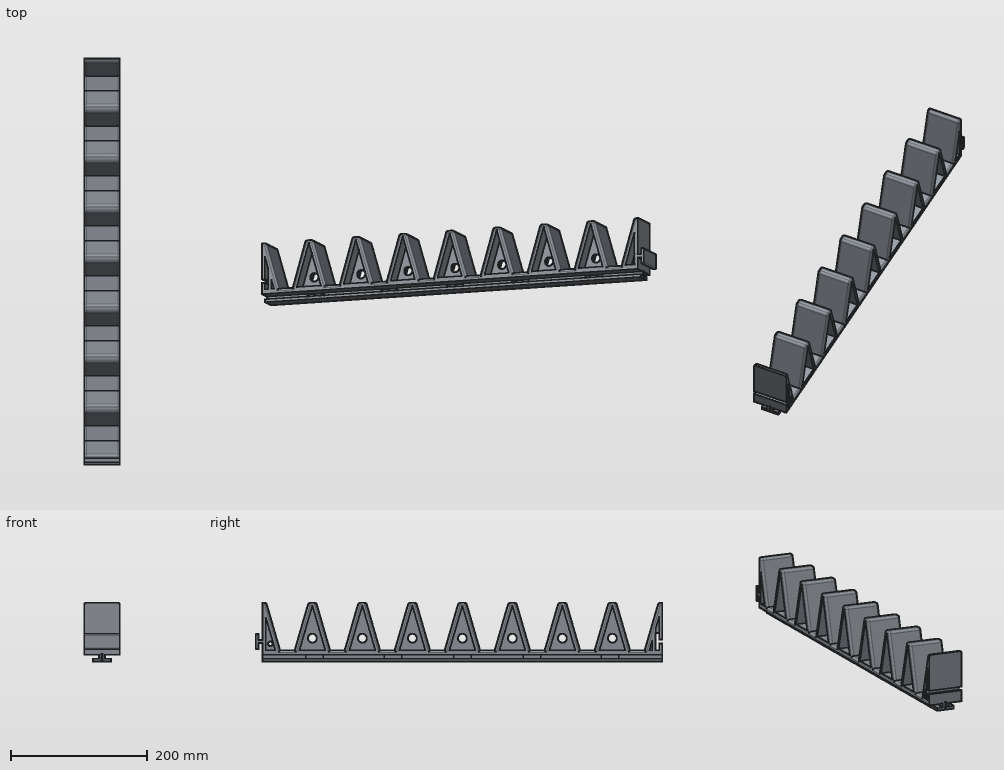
import cadquery as cq
import math


WIDTH = 52.39
PITCH = 73.025
PITCH_COUNT = 8
LENGTH = PITCH * PITCH_COUNT
BASE_THICKNESS = 6.9
BODY_HEIGHT = 76.2
SIDE_ROUND = 3.175
END_CLEARANCE = 0.5

TOOTH_FOOT_HALF = 25.9
TOOTH_TOP_HALF = 5.8
TIP_RADIUS = 4.4
FACE_THICKNESS = 6.8
WEB_THICKNESS = 6.35
WEB_HOLE_DIAMETER = 12.7
WEB_HOLE_HEIGHT = 24.3

FLANGE_THICKNESS = 4.32
T_PROJECTION = 9.84
KEY_FLANGE_WIDTH = 27.0
KEY_NECK_WIDTH = 9.0
HOOK_FLANGE_HEIGHT = 22.9
HOOK_NECK_HEIGHT = 4.76
HOOK_EDGE_ROUND = 2.2

WINDOW_LENGTH = 25.4
WINDOW_CENTRES = (-215.9, -101.6, 0, 101.6, 215.9)

STRIP_WIDTH = 1.6
STRIP_HEIGHT = 9.525
STRIP_BOTTOM = FLANGE_THICKNESS / 2

HOOK_WALL = 5.08
SMALL_HOLE_DIAMETER = 6.35
SMALL_HOLE_INSET = 11.6
SMALL_HOLE_HEIGHT = 16.2

SLOT_WALL = 4.75
SLOT_DEPTH = 5.08
SLOT_BACK_WALL = 5.08
SLOT_HEIGHT = 24.9
SLOT_MOUTH_HEIGHT = 5.5

BASE_BOTTOM = T_PROJECTION
FLOOR = BASE_BOTTOM + BASE_THICKNESS
TOP = BASE_BOTTOM + BODY_HEIGHT
HOOK_END = -(LENGTH + T_PROJECTION) / 2
HOOK_FACE = HOOK_END + T_PROJECTION
SLOT_FACE = HOOK_FACE + LENGTH
MIDDLE = (HOOK_FACE + SLOT_FACE) / 2
HOOK_LEVEL = FLOOR + SLOT_HEIGHT / 2
FULL_TEETH = [HOOK_FACE + PITCH * i for i in range(1, PITCH_COUNT)]

FACE_RUN = (TOOTH_FOOT_HALF - TOOTH_TOP_HALF) / (TOP - FLOOR)
FACE_ANGLE = math.atan(FACE_RUN)
INNER_FOOT_HALF = TOOTH_FOOT_HALF - FACE_THICKNESS / math.cos(FACE_ANGLE)

TIP_TANGENT = TIP_RADIUS * math.tan((math.pi / 2 - FACE_ANGLE) / 2)
TIP_FLAT_HALF = TOOTH_TOP_HALF - TIP_TANGENT
TIP_SIDE_HALF = TOOTH_TOP_HALF + TIP_TANGENT * math.sin(FACE_ANGLE)
TIP_SIDE_Z = TOP - TIP_TANGENT * math.cos(FACE_ANGLE)
TIP_MID_ANGLE = (math.pi / 2 + FACE_ANGLE) / 2
TIP_MID_HALF = TIP_FLAT_HALF + TIP_RADIUS * math.cos(TIP_MID_ANGLE)
TIP_MID_Z = TOP - TIP_RADIUS + TIP_RADIUS * math.sin(TIP_MID_ANGLE)


def block(width, y_start, y_stop, z_start, z_stop):
    """A box centred on X = 0 between the given Y and Z limits."""
    box = cq.Workplane("XY").box(width, y_stop - y_start, z_stop - z_start, centered=(True, False, False))
    return box.translate((0, y_start, z_start))


def cross_hole(diameter, y, z):
    """A round hole along X through the whole width."""
    return cq.Workplane("YZ").center(y, z).circle(diameter / 2).extrude(WIDTH / 2, both=True)


def rising_face(outline, centre):
    """The tooth face on the -Y side of a tooth, from its foot to the flat tip."""
    return (
        outline.lineTo(centre - TOOTH_FOOT_HALF, FLOOR)
        .lineTo(centre - TIP_SIDE_HALF, TIP_SIDE_Z)
        .threePointArc((centre - TIP_MID_HALF, TIP_MID_Z), (centre - TIP_FLAT_HALF, TOP))
    )


def falling_face(outline, centre):
    """The tooth face on the +Y side of a tooth, from the flat tip to its foot."""
    return (
        outline.lineTo(centre + TIP_FLAT_HALF, TOP)
        .threePointArc((centre + TIP_MID_HALF, TIP_MID_Z), (centre + TIP_SIDE_HALF, TIP_SIDE_Z))
        .lineTo(centre + TOOTH_FOOT_HALF, FLOOR)
    )


def toothed_body():
    """Base and solid teeth, a half tooth at each end, with the upper side edges rounded."""
    outline = cq.Workplane("YZ").moveTo(HOOK_FACE, BASE_BOTTOM).lineTo(HOOK_FACE, TOP)
    outline = falling_face(outline, HOOK_FACE)
    for centre in FULL_TEETH:
        outline = falling_face(rising_face(outline, centre), centre)
    outline = rising_face(outline, SLOT_FACE).lineTo(SLOT_FACE, TOP).lineTo(SLOT_FACE, BASE_BOTTOM).close()
    body = outline.extrude(WIDTH / 2, both=True)
    upper_zone = cq.selectors.BoxSelector(
        (-WIDTH, HOOK_FACE + END_CLEARANCE, BASE_BOTTOM + END_CLEARANCE),
        (WIDTH, SLOT_FACE - END_CLEARANCE, TOP + END_CLEARANCE),
    )
    return body.faces("<X or >X").edges(upper_zone).fillet(SIDE_ROUND)


def inner_height(offset):
    """Z of the inside of a tooth face at a distance along Y from the tooth centre."""
    return FLOOR + (INNER_FOOT_HALF - offset) / FACE_RUN


def side_pockets(points):
    """An outline cut in from both sides, leaving the web in the middle."""
    pockets = cq.Workplane("YZ").polyline(points).close().extrude(WIDTH / 2, both=True)
    return pockets.cut(block(WEB_THICKNESS, HOOK_END, SLOT_FACE, BASE_BOTTOM, TOP))


def full_tooth_pockets(centre):
    points = [
        (centre - INNER_FOOT_HALF, FLOOR),
        (centre + INNER_FOOT_HALF, FLOOR),
        (centre, inner_height(0)),
    ]
    return side_pockets(points)


def end_tooth_pockets(end_face, inward, offset):
    """Pockets of a half tooth from an offset inside its end face to the foot of its sloping face."""
    wall = end_face + inward * offset
    points = [
        (wall, FLOOR),
        (end_face + inward * INNER_FOOT_HALF, FLOOR),
        (wall, inner_height(offset)),
    ]
    return side_pockets(points)


def slot_top_pockets():
    """Pockets between the slot wall and the back wall, above the slot."""
    near = SLOT_WALL
    far = SLOT_WALL + SLOT_DEPTH
    points = [
        (SLOT_FACE - near, FLOOR),
        (SLOT_FACE - far, FLOOR),
        (SLOT_FACE - far, inner_height(far)),
        (SLOT_FACE - near, inner_height(near)),
    ]
    return side_pockets(points)


def hook_slot():
    """T-shaped slot across the end, with its mouth in the end face."""
    wall = SLOT_FACE - SLOT_WALL
    cavity = block(WIDTH, wall - SLOT_DEPTH, wall, FLOOR, FLOOR + SLOT_HEIGHT)
    mouth_half = SLOT_MOUTH_HEIGHT / 2
    return cavity.union(block(WIDTH, wall, SLOT_FACE, HOOK_LEVEL - mouth_half, HOOK_LEVEL + mouth_half))


def hook():
    """T-shaped hook across the opposite end, with the outer long edges of its flange rounded."""
    flange_half = HOOK_FLANGE_HEIGHT / 2
    neck_half = HOOK_NECK_HEIGHT / 2
    flange_stop = HOOK_END + FLANGE_THICKNESS
    flange = block(WIDTH, HOOK_END, flange_stop, HOOK_LEVEL - flange_half, HOOK_LEVEL + flange_half)
    flange = flange.faces("<Y").edges("|X").fillet(HOOK_EDGE_ROUND)
    return flange.union(block(WIDTH, flange_stop, HOOK_FACE, HOOK_LEVEL - neck_half, HOOK_LEVEL + neck_half))


def key():
    """T-shaped key under the base, with windows through its neck."""
    flange = block(KEY_FLANGE_WIDTH, HOOK_FACE, SLOT_FACE, 0, FLANGE_THICKNESS)
    neck = block(KEY_NECK_WIDTH, HOOK_FACE, SLOT_FACE, FLANGE_THICKNESS, BASE_BOTTOM)
    for offset in WINDOW_CENTRES:
        start = MIDDLE + offset - WINDOW_LENGTH / 2
        neck = neck.cut(block(KEY_NECK_WIDTH, start, start + WINDOW_LENGTH, FLANGE_THICKNESS, BASE_BOTTOM))
    return flange.union(neck)


def stiffening_strip():
    return block(STRIP_WIDTH, HOOK_FACE, SLOT_FACE, STRIP_BOTTOM, STRIP_BOTTOM + STRIP_HEIGHT)


def rail():
    body = toothed_body()
    for centre in FULL_TEETH:
        body = body.cut(full_tooth_pockets(centre))
        body = body.cut(cross_hole(WEB_HOLE_DIAMETER, centre, BASE_BOTTOM + WEB_HOLE_HEIGHT))
    body = body.cut(end_tooth_pockets(HOOK_FACE, 1, HOOK_WALL))
    small_hole_y = HOOK_FACE + SMALL_HOLE_INSET
    body = body.cut(cross_hole(SMALL_HOLE_DIAMETER, small_hole_y, BASE_BOTTOM + SMALL_HOLE_HEIGHT))
    body = body.cut(end_tooth_pockets(SLOT_FACE, -1, SLOT_WALL + SLOT_DEPTH + SLOT_BACK_WALL))
    body = body.cut(slot_top_pockets()).cut(hook_slot())
    return body.union(hook()).union(key()).cut(stiffening_strip())


toothed_rail = rail()
strip = stiffening_strip()
result = cq.Compound.makeCompound([toothed_rail.val(), strip.val()])